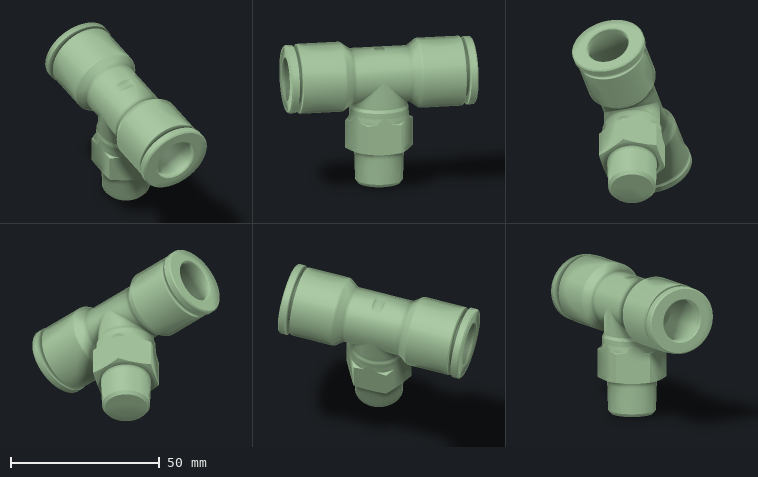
import cadquery as cq
import math


overall_length = 63.8
overall_height = 49.2
run_end = overall_length / 2

tube_radius = 9.5
port_radius = 11.8
port_end = 27.95
port_edge_fillet = 0.25
shoulder_outer_x = 13.1
shoulder_inner_x = 9.9
shoulder_fillet = 1.0

neck_radius = 8.55
flange_width = 25.0
flange_height = 22.85
flange_thickness = 2.55
flange_edge = 0.45

socket_radius = 7.2
socket_mouth_chamfer = 0.3
socket_depth = run_end - shoulder_outer_x

recess_floor_z = 9.0
recess_floor_length = 3.05
recess_wall_taper = 45

bead_cone_top = -9.8
bead_top = -10.9
bead_bottom = -12.9
hex_top = -14.85
hex_bottom = -25.4
thread_bevel_top = -36.25
branch_end = port_radius - overall_height

hex_across_flats = 20.05
hex_flat_radius = hex_across_flats / 2
hex_corner_radius = hex_flat_radius / math.cos(math.radians(30))
bead_radius = hex_flat_radius
hex_top_radius = 10.3
hex_bevel_angle = 17
thread_radius = 8.4
thread_taper = 1 / 32
thread_bevel_width = 0.9


def run_body():
    """Central tube with a wider port body at each end, revolved about X."""
    right_outline = [
        (shoulder_inner_x, tube_radius),
        (shoulder_outer_x, port_radius),
        (port_end, port_radius),
        (port_end, 0),
    ]
    left_outline = [(-x, radius) for x, radius in reversed(right_outline)]
    body = (
        cq.Workplane("XY")
        .polyline(left_outline + right_outline)
        .close()
        .revolve(360, (0, 0, 0), (1, 0, 0))
    )
    body = body.faces("%CONE").edges("%CIRCLE").fillet(shoulder_fillet)
    return body.faces("<X or >X").edges().fillet(port_edge_fillet)


def release_collar():
    """Neck and oval flange at the +X end."""
    flange_start = run_end - flange_thickness
    neck_length = flange_start - port_end
    neck = cq.Workplane("YZ", origin=(port_end, 0, 0)).circle(neck_radius).extrude(neck_length)
    flange = (
        cq.Workplane("YZ", origin=(flange_start, 0, 0))
        .ellipse(flange_width / 2, flange_height / 2)
        .extrude(flange_thickness)
        .faces(">X")
        .edges()
        .chamfer(flange_edge)
    )
    return neck.union(flange)


def tube_socket():
    """Blind bore with a beveled mouth, cut into the +X end."""
    mouth_radius = socket_radius + socket_mouth_chamfer
    outline = [
        (run_end - socket_depth, 0),
        (run_end - socket_depth, socket_radius),
        (run_end - socket_mouth_chamfer, socket_radius),
        (run_end, mouth_radius),
        (run_end, 0),
    ]
    return cq.Workplane("XY").polyline(outline).close().revolve(360, (0, 0, 0), (1, 0, 0))


def revolve_about_z(outline):
    return cq.Workplane("XZ").polyline(outline).close().revolve(360, (0, 0, 0), (0, 1, 0))


def branch_neck():
    """Round neck of the branch, widening to the bead above the hexagon."""
    return revolve_about_z([
        (0, 0),
        (tube_radius, 0),
        (tube_radius, bead_cone_top),
        (bead_radius, bead_top),
        (bead_radius, bead_bottom),
        (0, bead_bottom),
    ])


def hexagon():
    """Hexagon with flats facing +-Y, its ends turned to shallow cones."""
    bevel_slope = math.tan(math.radians(hex_bevel_angle))
    top_bevel = (hex_corner_radius - hex_top_radius) * bevel_slope
    bottom_bevel = (hex_corner_radius - hex_flat_radius) * bevel_slope
    prism = (
        cq.Workplane("XY", origin=(0, 0, hex_bottom))
        .polygon(6, 2 * hex_corner_radius)
        .extrude(bead_bottom - hex_bottom)
    )
    turned = revolve_about_z([
        (0, bead_bottom),
        (bead_radius, bead_bottom),
        (hex_top_radius, hex_top),
        (hex_corner_radius, hex_top - top_bevel),
        (hex_corner_radius, hex_bottom + bottom_bevel),
        (hex_flat_radius, hex_bottom),
        (0, hex_bottom),
    ])
    return prism.intersect(turned)


def thread_stub():
    """Plain tapered stub at the thread's outer surface, beveled at its end."""
    end_radius = thread_radius - (hex_bottom - thread_bevel_top) * thread_taper
    return revolve_about_z([
        (0, hex_bottom),
        (thread_radius, hex_bottom),
        (end_radius, thread_bevel_top),
        (end_radius - thread_bevel_width, branch_end),
        (0, branch_end),
    ])


def top_recess():
    """Flat-floored cutter across the crown of the tube, with sloped end walls."""
    depth = port_radius - recess_floor_z
    half_floor = recess_floor_length / 2
    half_top = half_floor + depth * math.tan(math.radians(recess_wall_taper))
    outline = [
        (-half_floor, recess_floor_z),
        (half_floor, recess_floor_z),
        (half_top, port_radius),
        (-half_top, port_radius),
    ]
    return cq.Workplane("XZ").polyline(outline).close().extrude(tube_radius, both=True)


collar = release_collar()
socket = tube_socket()
result = (
    run_body()
    .union(collar)
    .union(collar.mirror("YZ"))
    .union(branch_neck())
    .union(hexagon())
    .union(thread_stub())
    .cut(socket)
    .cut(socket.mirror("YZ"))
    .cut(top_recess())
)